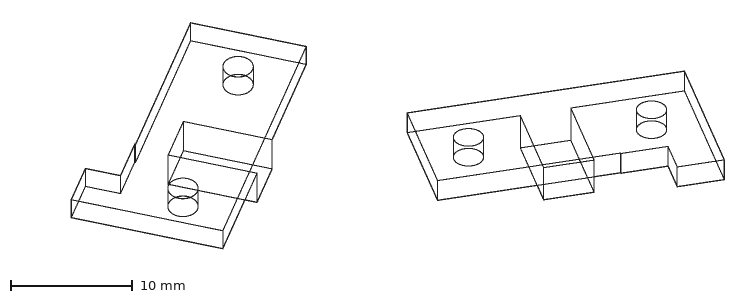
import cadquery as cq

length = 23.5
width = 13.0
plate_thickness = 2.0
total_height = 5.25

foot_length = 4.0
foot_reach = 3.0
step_y = 2 * foot_length
step_depth = 0.07

hole_diameter = 2.5
hole_end_distance = 4.0
hole_side_distance = 4.63

block_width = 7.61
block_length = 4.28
block_front = 9.64
block_height = total_height - plate_thickness


def make_plate():
    """L-shaped plate with its lower face at Z = 0."""
    rear_edge_x = foot_reach + step_depth
    outline = [
        (0, 0),
        (width, 0),
        (width, length),
        (rear_edge_x, length),
        (rear_edge_x, step_y),
        (foot_reach, step_y),
        (foot_reach, foot_length),
        (0, foot_length),
    ]
    return cq.Workplane("XY").polyline(outline).close().extrude(plate_thickness)


def make_block():
    """Rectangular block hanging below the plate."""
    return (
        cq.Workplane("XY")
        .box(block_width, block_length, block_height, centered=False)
        .translate((width - block_width, block_front, -block_height))
    )


def make_holes():
    """Two cylinders that cut through the plate."""
    hole_x = width - hole_side_distance
    centers = [(hole_x, hole_end_distance), (hole_x, length - hole_end_distance)]
    return (
        cq.Workplane("XY")
        .pushPoints(centers)
        .circle(hole_diameter / 2)
        .extrude(plate_thickness)
    )


result = make_plate().union(make_block()).cut(make_holes())